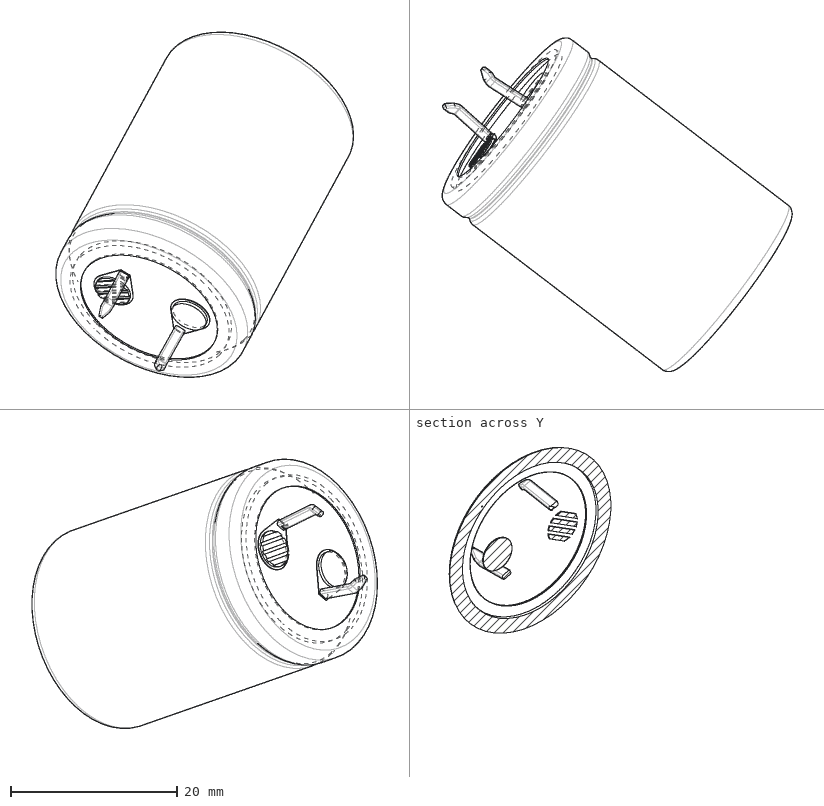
import cadquery as cq
import math

origin = (0, 0, 0)
y_axis = (0, 1, 0)

overall_length = 41.15
can_length = 35.0
can_diameter = 24.97
can_radius = can_diameter / 2
end_fillet = 1.0

bead_centre = 4.15
bead_shoulder_width = 0.5
bead_root_width = 0.33
bead_floor_width = 0.1
bead_angle = math.radians(45)

lip_diameter = 17.85
lip_thickness = 0.2
disc_diameter = 20.75
disc_depth = 1.0

rivet_pitch = 10.0
rivet_diameter = 4.5
rivet_height = 0.5

groove_count = 5
groove_width = 0.4
groove_spacing = 1.03
groove_depth = 0.15
groove_tilt = 28.5

tab_radius = 2.55
tab_thickness = 0.1
tab_tilt = 21.5
pin_offset = 3.83

pin_length = overall_length - can_length
pin_width = 1.3
pin_thickness = 0.75
pin_edge_fillet = 0.2
shank_length = 4.35
shank_lean = 9
tip_lean = 38
bend_radius = 0.12
tip_corner_width = 0.4
tip_corner_length = 1.15


def can():
    """Revolved body with rounded rims, a smooth bead groove and the terminal recess."""
    shoulder_radius = bead_shoulder_width / math.sin(bead_angle)
    root_radius = bead_root_width / math.sin(bead_angle)
    shoulder_drop = shoulder_radius * (1 - math.cos(bead_angle))
    root_drop = root_radius * (1 - math.cos(bead_angle))
    floor_half = bead_floor_width / 2
    inflection_half = floor_half + bead_root_width
    bead_half = inflection_half + bead_shoulder_width
    inflection_radius = can_radius - shoulder_drop
    root = can_radius - shoulder_drop - root_drop
    rim_radius = can_radius - end_fillet
    profile = (
        cq.Workplane("XY")
        .lineTo(rim_radius, 0)
        .radiusArc((can_radius, end_fillet), -end_fillet)
        .lineTo(can_radius, bead_centre - bead_half)
        .radiusArc((inflection_radius, bead_centre - inflection_half), -shoulder_radius)
        .radiusArc((root, bead_centre - floor_half), root_radius)
        .lineTo(root, bead_centre + floor_half)
        .radiusArc((inflection_radius, bead_centre + inflection_half), root_radius)
        .radiusArc((can_radius, bead_centre + bead_half), -shoulder_radius)
        .lineTo(can_radius, can_length - end_fillet)
        .radiusArc((rim_radius, can_length), -end_fillet)
        .lineTo(0, can_length)
        .close()
    )
    body = profile.revolve(360, origin, y_axis)
    opening = cq.Workplane("XZ").circle(lip_diameter / 2).extrude(-disc_depth)
    chamber = (
        cq.Workplane("XZ", origin=(0, lip_thickness, 0))
        .circle(disc_diameter / 2)
        .extrude(lip_thickness - disc_depth)
    )
    return body.cut(opening).cut(chamber)


def rivet():
    """Plain rivet head on the Y axis."""
    floor = cq.Workplane("XZ", origin=(0, disc_depth, 0))
    return floor.circle(rivet_diameter / 2).extrude(rivet_height)


def marking_grooves():
    """Parallel tilted grooves across the face of a rivet on the Y axis."""
    middle = (groove_count - 1) / 2
    centres = [(0, (i - middle) * groove_spacing) for i in range(groove_count)]
    grooves = (
        cq.Workplane("XZ", origin=(0, disc_depth - rivet_height, 0))
        .pushPoints(centres)
        .rect(2 * rivet_diameter, groove_width)
        .extrude(-groove_depth)
    )
    return grooves.rotate(origin, y_axis, -groove_tilt)


def tab():
    """Teardrop plate round the rivet, narrowing along +Z to the pin."""
    half_width = pin_width / 2
    end = pin_offset + pin_thickness / 2
    reach = math.hypot(half_width, end)
    tangent_angle = math.atan2(end, half_width) - math.acos(tab_radius / reach)
    tangent_x = tab_radius * math.cos(tangent_angle)
    tangent_z = tab_radius * math.sin(tangent_angle)
    return (
        cq.Workplane("XZ", origin=(0, disc_depth, 0))
        .moveTo(tangent_x, tangent_z)
        .lineTo(half_width, end)
        .lineTo(-half_width, end)
        .lineTo(-tangent_x, tangent_z)
        .threePointArc((0, -tab_radius), (tangent_x, tangent_z))
        .close()
        .extrude(tab_thickness)
    )


def tip_trim(tip_y, tip_z, tip_angle):
    """Two wedges that bevel the corners of a pin tip ending at the given point."""
    half_width = pin_width / 2
    plane = cq.Plane(
        origin=(0, tip_y, tip_z),
        xDir=(1, 0, 0),
        normal=(0, -math.sin(tip_angle), math.cos(tip_angle)),
    )
    wedge = (
        cq.Workplane(plane)
        .moveTo(half_width - tip_corner_width, 0)
        .lineTo(half_width, tip_corner_length)
        .lineTo(half_width, 0)
        .close()
        .extrude(pin_thickness, both=True)
    )
    return wedge.union(wedge.mirror("YZ"))


def edges_near(y, z):
    """Selector for the pin edges close to a point on the pin centreline."""
    half = pin_thickness / 2
    return cq.selectors.BoxSelector(
        (-pin_width, y - half, z - pin_thickness),
        (pin_width, y + half, z + pin_thickness),
    )


def pin():
    """Bent flat pin with a tapered tip; the shank leans towards +Z."""
    half = pin_thickness / 2
    lean = math.radians(shank_lean)
    tip = math.radians(tip_lean)
    bend_z = pin_offset + shank_length * math.tan(lean)
    tip_y = (
        pin_length
        - (half - pin_edge_fillet) * math.sin(tip)
        - pin_edge_fillet * (1 - math.cos(tip))
    )
    tip_z = bend_z - (tip_y - shank_length) * math.tan(tip)
    root_z = pin_offset - disc_depth * math.tan(lean)

    mitre_angle = (lean - tip) / 2
    mitre = half / math.cos((lean + tip) / 2)
    mitre_y = mitre * math.sin(mitre_angle)
    mitre_z = mitre * math.cos(mitre_angle)
    tip_dy = half * math.sin(tip)
    tip_dz = half * math.cos(tip)
    root_dz = half / math.cos(lean)
    blade = (
        cq.Workplane("YZ")
        .moveTo(disc_depth, root_z - root_dz)
        .lineTo(disc_depth, root_z + root_dz)
        .lineTo(-shank_length + mitre_y, bend_z + mitre_z)
        .lineTo(-tip_y - tip_dy, tip_z + tip_dz)
        .lineTo(-tip_y + tip_dy, tip_z - tip_dz)
        .lineTo(-shank_length - mitre_y, bend_z - mitre_z)
        .close()
        .extrude(pin_width / 2, both=True)
    )
    bend_edges = blade.edges("|X").edges(edges_near(-shank_length, bend_z))
    inner_bend = bend_edges.edges("<Z").val()
    outer_bend = bend_edges.edges(">Z").val()
    blade = blade.newObject([inner_bend]).fillet(bend_radius)
    blade = blade.newObject([outer_bend]).fillet(bend_radius + pin_thickness)
    blade = blade.cut(tip_trim(-tip_y, tip_z, tip))

    tip_seams = cq.selectors.ParallelDirSelector(cq.Vector(0, -math.sin(tip), math.cos(tip)))
    slanted_edges = cq.selectors.StringSyntaxSelector("not (|X or |Z)")
    side_rims = blade.edges(cq.selectors.SubtractSelector(slanted_edges, tip_seams))
    end_rims = blade.edges("|X").edges(edges_near(-tip_y, tip_z))
    return side_rims.add(end_rims).fillet(pin_edge_fillet)


def terminal():
    """Rivet, tab and pin of one pole, with the rivet on the Y axis."""
    return rivet().union(tab()).union(pin())


negative_x = -rivet_pitch / 2
negative = terminal().rotate(origin, y_axis, tab_tilt)
positive = negative.rotate(origin, y_axis, 180).translate((-negative_x, 0, 0))
negative = negative.cut(marking_grooves()).translate((negative_x, 0, 0))

result = can().union(negative).union(positive)